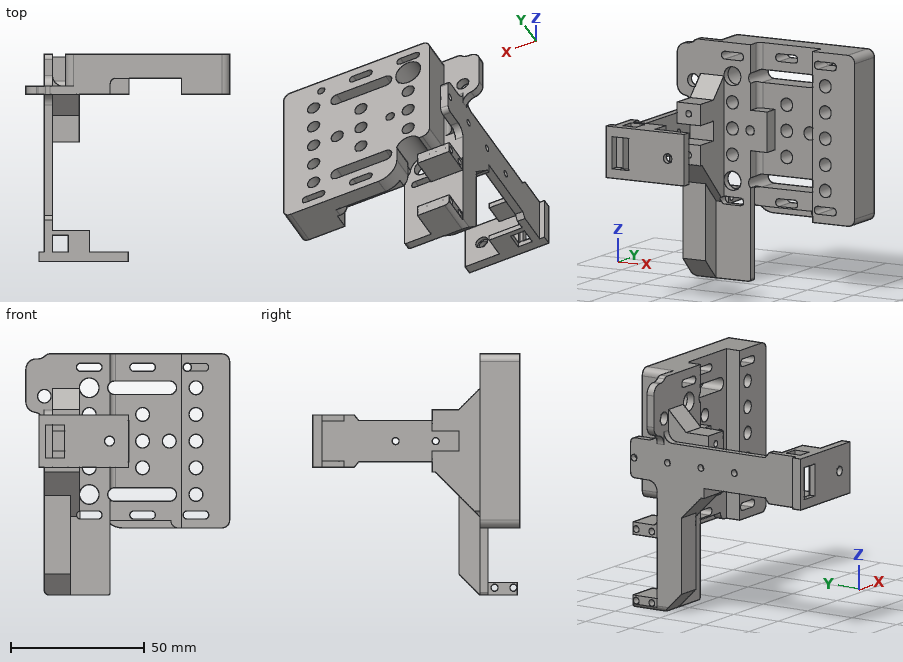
import cadquery as cq
import math


block_left, block_right = 14.8, 76.5
block_bottom, block_top = 25.2, 90.5
block_depth = 15.0
block_corner = 3.0
channel_left, channel_right = 31.7, 58.4
channel_floor = 9.05
channel_fillet = 2.0

relief_top = 40.45
wall_bottom = 35.4
wall_corner = 3.0
toe_left, toe_top = 28.6, 39.6
toe_corner = 7.8

lip_top = 28.1
lip_right = 54.4
lip_floor = 5.9
lip_corner = lip_top - block_bottom

plate_back = 11.95
ear_bottom, ear_side_bottom, ear_top = 64.5, 72.5, 88.6
ear_radius = 4.0
ear_shoulder = 0.5
column_right = 16.7
column_front = 22.9
column_corner = 2.0
plate_corner = 1.0

arm_left = 6.9
arm_right = 10.05
arm_height = 15.5
arm_middle = 57.7
arm_fillet = 4.0
arm_end_corner = 2.0
arm_length = 77.7
arm_bottom = arm_middle - arm_height / 2
arm_top = arm_middle + arm_height / 2
end_height = 19.7
end_bottom = arm_middle - end_height / 2
end_top = arm_middle + end_height / 2
end_left, end_right = 4.9, 38.5
end_plate_back = 74.1
flare_start, flare_end = 60.4, 62.2

gusset_right = 20.1
gusset_front = 32.9
gusset_bottom, gusset_top = 46.2, 69.6
gusset_flat = 1.2
gusset_slot = 7.5
gusset_pin = 2.4
gusset_pin_offset = 7.9

lug_right = 24.0
lug_back = 66.0
lug_thickness = 2.35
recess_front = 75.5
lug_window_right, lug_window_back = 15.9, 67.9
end_window_left, end_window_right = 7.4, 14.6
end_window_bottom, end_window_top = 51.5, 63.8
end_hole, end_hole_seat, end_hole_x = 3.6, 5.1, 31.4

foot_left, foot_right = 7.0, 20.4
foot_back = 1.0
foot_height = 4.8
foot_bottom = 28.15
foot_pin = 2.5
foot_pin_depths = (2.4, 9.5)
lower_pin_z, upper_pin_z = 2.8, 30.3
foot_fillet = 2.0

grid_span = 40.0
pitch = grid_span / 4
grid_left = 23.8
bolt_hole = 5.1
big_hole, big_hole_back = 7.2, 10.5
long_slot_left, long_slot_right = 30.8, 56.5
long_slot_width = 5.0
small_slot_length = 9.5
small_slot_width = 3.0
small_slot_rise = 27.7
blind_slot_depth = 9.05
pad_right = 38.7
ear_hole, ear_hole_x, ear_hole_z = 5.0, 7.0, 74.6
arm_pin = 2.5
arm_pin_first, arm_pin_pitch = 1.5, 15.0


def slab(left, right, back, front, bottom, top):
    """Box given by its X range, its depth range from the back face and its Z range."""
    box = cq.Workplane("XY").box(right - left, front - back, top - bottom, centered=False)
    return box.translate((left, -front, bottom))


def xz_plane(depth):
    """XZ sketch plane at the given depth; extruding goes further to the front."""
    return cq.Workplane("XZ", origin=(0, -depth, 0))


def yz_plane(left):
    """YZ sketch plane at the given X; extruding goes towards +X."""
    return cq.Workplane("YZ", origin=(left, 0, 0))


def round_hole(x, z, diameter, depth=arm_length):
    """Hole drilled from the back face."""
    return xz_plane(0).center(x, z).circle(diameter / 2).extrude(depth)


def slot(x, z, length, width, floor=0):
    """Slot open to the front, reaching back to the given depth."""
    return xz_plane(floor).center(x, z).slot2D(length, width).extrude(arm_length)


def corner_piece(sketch, corner, radius, x_side=1, y_side=1):
    """Sketch the area between a square corner and the quarter circle that rounds it."""
    x, y = corner
    bulge = radius * (1 - math.sqrt(0.5))
    middle = (x + x_side * bulge, y + y_side * bulge)
    start = sketch.moveTo(x, y).lineTo(x + x_side * radius, y)
    return start.threePointArc(middle, (x, y + y_side * radius)).close()


def corner_waste(x, z, radius, back, front):
    """Material to remove from a lower left corner to round it off."""
    return corner_piece(xz_plane(back), (x, z), radius).extrude(front - back)


def make_block():
    block = slab(block_left, block_right, 0, block_depth, block_bottom, block_top)
    block = block.edges("|Y").fillet(block_corner)
    channel = slab(channel_left, channel_right, channel_floor, block_depth, block_bottom, block_top)
    return block.cut(channel.edges("|Z and <X and >Y").fillet(channel_fillet))


def cut_relief(block):
    """Open the lower left corner around the big hole; only a stepped toe stays at the back."""
    wall_start = grid_left + big_hole_back / 2
    wall_end = channel_left + channel_fillet
    wall_corner_top = wall_bottom + wall_corner
    block = block.cut(slab(block_left, grid_left, 0, block_depth, block_bottom, relief_top))
    block = block.cut(slab(block_left, wall_start, 0, block_depth, block_bottom, wall_corner_top))
    block = block.cut(slab(block_left, wall_end, channel_floor, block_depth, block_bottom, wall_bottom))
    block = block.cut(corner_waste(block_left, relief_top, block_corner, 0, block_depth))
    block = block.cut(corner_waste(wall_start, wall_bottom, wall_corner, channel_floor, block_depth))
    for side in (-1, 1):
        block = block.cut(round_hole(grid_left, arm_middle + side * 2 * pitch, big_hole_back))

    toe = slab(toe_left, channel_left, 0, channel_floor, block_bottom, toe_top)
    block = block.union(toe).cut(corner_waste(toe_left, block_bottom, toe_corner, 0, channel_floor))
    block = block.cut(slab(toe_left, lip_right, lip_floor, channel_floor, block_bottom, lip_top))
    return block.cut(corner_waste(lip_right, block_bottom, lip_corner, lip_floor, channel_floor))


def make_plate():
    diagonal = math.sqrt(0.5)
    shoulder_x = ear_radius + ear_shoulder
    concave_x = shoulder_x + ear_radius * diagonal
    concave_z = ear_top + ear_radius * (1 - diagonal)
    convex_radius = (block_top - concave_z) / (1 - diagonal)
    half_turn = math.radians(45) / 2
    half_turn_point = (
        shoulder_x + ear_radius * math.sin(half_turn),
        ear_top + ear_radius * (1 - math.cos(half_turn)),
    )
    ear_rise = ear_side_bottom - ear_bottom
    root_radius = (arm_left**2 + ear_rise**2) / (4 * arm_left)
    outline = (
        xz_plane(plate_back)
        .moveTo(arm_left, 0)
        .lineTo(arm_left, ear_bottom)
        .radiusArc((arm_left / 2, ear_bottom + ear_rise / 2), -root_radius)
        .radiusArc((0, ear_side_bottom), root_radius)
        .lineTo(0, ear_top - ear_radius)
        .radiusArc((ear_radius, ear_top), ear_radius)
        .lineTo(shoulder_x, ear_top)
        .threePointArc(half_turn_point, (concave_x, concave_z))
        .radiusArc((concave_x + convex_radius * diagonal, block_top), convex_radius)
        .lineTo(channel_left, block_top)
        .lineTo(channel_left, 0)
        .close()
    )
    plate = outline.extrude(block_depth - plate_back)
    return plate.edges("|Y and >X and <Z").fillet(plate_corner)


def make_column():
    chamfer = column_front - block_depth
    outline = [
        (-plate_back, 0),
        (-block_depth, 0),
        (-column_front, chamfer),
        (-column_front, gusset_bottom),
        (-plate_back, gusset_bottom),
    ]
    return yz_plane(arm_left).polyline(outline).close().extrude(column_right - arm_left)


def make_gusset():
    slope_end = gusset_front - gusset_flat
    top_rise = column_front - block_depth
    under = [
        (-block_depth, gusset_bottom - slope_end + block_depth),
        (-slope_end, gusset_bottom),
        (-gusset_front, gusset_bottom),
    ]
    upper = [
        (-gusset_front, gusset_top),
        (-column_front, gusset_top),
        (-block_depth, gusset_top + top_rise),
    ]
    gusset = yz_plane(arm_right).polyline(under + upper).close().extrude(gusset_right - arm_right)
    slot_bottom = arm_middle - gusset_slot / 2
    slot_top = arm_middle + gusset_slot / 2
    gusset = gusset.cut(slab(arm_right, gusset_right, column_front, gusset_front, slot_bottom, slot_top))
    pin_x = (arm_right + gusset_right) / 2
    for side in (-1, 1):
        pin = xz_plane(column_front).center(pin_x, arm_middle + side * gusset_pin_offset)
        gusset = gusset.cut(pin.circle(gusset_pin / 2).extrude(gusset_front - column_front))
    arm_side = under + [(-gusset_front, arm_bottom), (-block_depth, arm_bottom)]
    return gusset.union(yz_plane(arm_left).polyline(arm_side).close().extrude(arm_right - arm_left))


def make_arm():
    outline = [
        (0, arm_bottom),
        (0, arm_top),
        (-flare_start, arm_top),
        (-flare_end, end_top),
        (-end_plate_back, end_top),
        (-end_plate_back, end_bottom),
        (-flare_end, end_bottom),
        (-flare_start, arm_bottom),
    ]
    thickness = arm_right - arm_left
    arm = yz_plane(arm_left).polyline(outline).close().extrude(thickness)
    arm = arm.edges("|X and >Y").fillet(arm_end_corner)
    for count in range(4):
        pin_depth = arm_pin_first + count * arm_pin_pitch
        pin = yz_plane(arm_left).center(-pin_depth, arm_middle).circle(arm_pin / 2)
        arm = arm.cut(pin.extrude(thickness))

    for depth, z, y_side, z_side in (
        (plate_back, arm_top, 1, 1),
        (block_depth, arm_top, -1, 1),
        (plate_back, arm_bottom, 1, -1),
    ):
        fillet = corner_piece(yz_plane(arm_left), (-depth, z), arm_fillet, y_side, z_side)
        arm = arm.union(fillet.extrude(thickness))
    side_plane = cq.Workplane("XY", origin=(0, 0, arm_bottom))
    side = corner_piece(side_plane, (arm_right, -plate_back), arm_fillet)
    return arm.union(side.extrude(arm_height))


def make_arm_end():
    end = slab(end_left, end_right, end_plate_back, arm_length, end_bottom, end_top)
    lug = slab(arm_right, lug_right, lug_back, end_plate_back, end_bottom, end_top)
    lug = lug.cut(slab(arm_right, lug_window_right, lug_window_back, end_plate_back, end_bottom, end_top))
    recess_bottom = end_bottom + lug_thickness
    recess_top = end_top - lug_thickness
    lug = lug.cut(slab(arm_right, lug_right, lug_back, end_plate_back, recess_bottom, recess_top))
    recess = slab(arm_right, lug_window_right, end_plate_back, recess_front, recess_bottom, recess_top)
    window = slab(end_window_left, end_window_right, end_plate_back, arm_length,
                  end_window_bottom, end_window_top)
    hole = xz_plane(end_plate_back).center(end_hole_x, arm_middle).circle(end_hole / 2)
    seat = xz_plane(end_plate_back).center(end_hole_x, arm_middle).circle(end_hole_seat / 2)
    end = end.union(lug).cut(recess).cut(window)
    return end.cut(hole.extrude(arm_length - end_plate_back)).cut(seat.extrude(recess_front - end_plate_back))


def make_foot(bottom, pin_z):
    foot = slab(foot_left, foot_right, foot_back, plate_back, bottom, bottom + foot_height)
    for depth in foot_pin_depths:
        pin = yz_plane(foot_left).center(-depth, pin_z).circle(foot_pin / 2)
        foot = foot.cut(pin.extrude(foot_right - foot_left))
    return foot


def make_foot_fillet():
    sketch = corner_piece(yz_plane(foot_left), (-plate_back, foot_bottom + foot_height), foot_fillet)
    return sketch.extrude(foot_right - foot_left)


def cut_front_holes(body):
    for column in (0, 2, 3, 4):
        body = body.cut(round_hole(grid_left + column * pitch, arm_middle, bolt_hole))
    for side in (-1, 1):
        near_z = arm_middle + side * pitch
        far_z = arm_middle + side * 2 * pitch
        for column in (0, 2, 4):
            body = body.cut(round_hole(grid_left + column * pitch, near_z, bolt_hole))
        body = body.cut(round_hole(grid_left, far_z, big_hole))
        body = body.cut(round_hole(grid_left + 4 * pitch, far_z, bolt_hole))
        long_slot_middle = (long_slot_left + long_slot_right) / 2
        body = body.cut(slot(long_slot_middle, far_z, long_slot_right - long_slot_left, long_slot_width))
    body = body.cut(round_hole(end_hole_x, arm_middle, end_hole))
    return body.cut(round_hole(ear_hole_x, ear_hole_z, ear_hole))


def cut_small_slots(body):
    """Six slots; the upper right one is blind, with a round hole from its left end to the back."""
    for side in (-1, 1):
        z = arm_middle + side * small_slot_rise
        for column in (0, 2, 4):
            x = grid_left + column * pitch
            if side == 1 and column == 4:
                floor = block_depth - blind_slot_depth
                body = body.cut(slot(x, z, small_slot_length, small_slot_width, floor))
                end_x = x - (small_slot_length - small_slot_width) / 2
                body = body.cut(round_hole(end_x, z, small_slot_width, floor))
            else:
                body = body.cut(slot(x, z, small_slot_length, small_slot_width))
    return body


pad = slab(channel_left, pad_right, channel_floor, block_depth, arm_bottom, arm_top)
result = cut_relief(make_block()).union(make_plate()).union(make_column()).union(make_gusset()).union(pad)
result = cut_small_slots(cut_front_holes(result))
result = result.union(make_foot(0, lower_pin_z))
result = result.union(make_foot(foot_bottom, upper_pin_z)).union(make_foot_fillet())
result = result.cut(corner_waste(arm_left, 0, column_corner, foot_back, column_front))
result = result.union(make_arm()).union(make_arm_end())